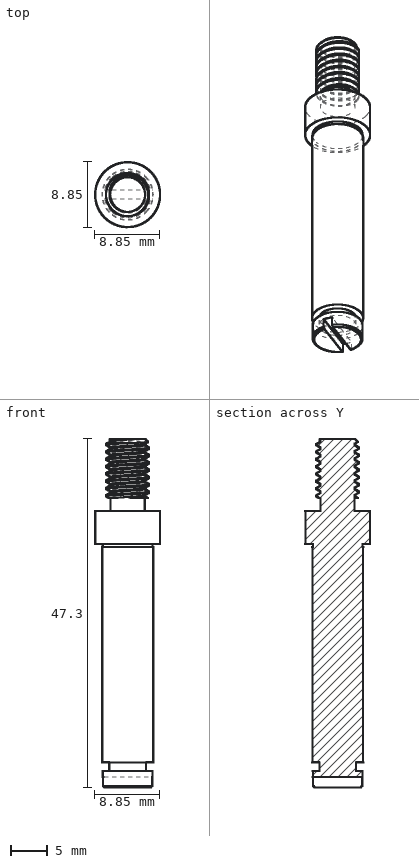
import cadquery as cq
import math

total_length = 47.3
head_top = 2.25
body_bottom = 3.4
body_top = 32.6
collar_bottom = 33.0
collar_top = 37.5
thread_bottom = 39.25

head_diameter = 6.8
groove_diameter = 5.0
body_diameter = 6.95
neck_diameter = 6.8
collar_diameter = 8.85
core_diameter = 4.7
thread_diameter = 5.85

head_chamfer = 0.25
slot_width = 1.25
slot_depth = 1.4

thread_pitch = 1.0
crest_width = 0.15
flank_angle = math.radians(30)
root_overlap = 0.05
helix_start = 38.1
helix_turns = 10


def cylinder(diameter, bottom, top):
    """Cylinder on the Z axis between two heights."""
    return cq.Workplane("XY").workplane(offset=bottom).circle(diameter / 2).extrude(top - bottom)


def make_head():
    """Slotted head with a chamfered lower edge; the slot runs along X."""
    head = cylinder(head_diameter, 0, head_top).faces("<Z").chamfer(head_chamfer)
    slot = cq.Workplane("XY").box(
        collar_diameter, slot_width, slot_depth, centered=(True, True, False)
    )
    return head.cut(slot)


def make_thread():
    """Helical ridge, trimmed flat below and to a 45 degree chamfer at the tip."""
    root_radius = core_diameter / 2 - root_overlap
    crest_radius = thread_diameter / 2
    half_crest = crest_width / 2
    half_root = half_crest + (crest_radius - root_radius) * math.tan(flank_angle)
    helix = cq.Wire.makeHelix(
        thread_pitch, thread_pitch * helix_turns, root_radius, cq.Vector(0, 0, helix_start)
    )
    ridge = (
        cq.Workplane("XZ")
        .polyline([
            (root_radius, helix_start - half_root),
            (crest_radius, helix_start - half_crest),
            (crest_radius, helix_start + half_crest),
            (root_radius, helix_start + half_root),
        ])
        .close()
        .sweep(cq.Workplane(obj=helix), isFrenet=True)
    )
    tip_chamfer = (thread_diameter - core_diameter) / 2
    envelope = cylinder(thread_diameter + root_overlap, thread_bottom, total_length)
    envelope = envelope.faces(">Z").chamfer(tip_chamfer)
    return ridge.intersect(envelope)


shaft_sections = [
    (groove_diameter, head_top, body_bottom),
    (body_diameter, body_bottom, body_top),
    (neck_diameter, body_top, collar_bottom),
    (collar_diameter, collar_bottom, collar_top),
    (core_diameter, collar_top, total_length),
]

result = make_head()
for diameter, bottom, top in shaft_sections:
    result = result.union(cylinder(diameter, bottom, top))
result = result.union(make_thread())